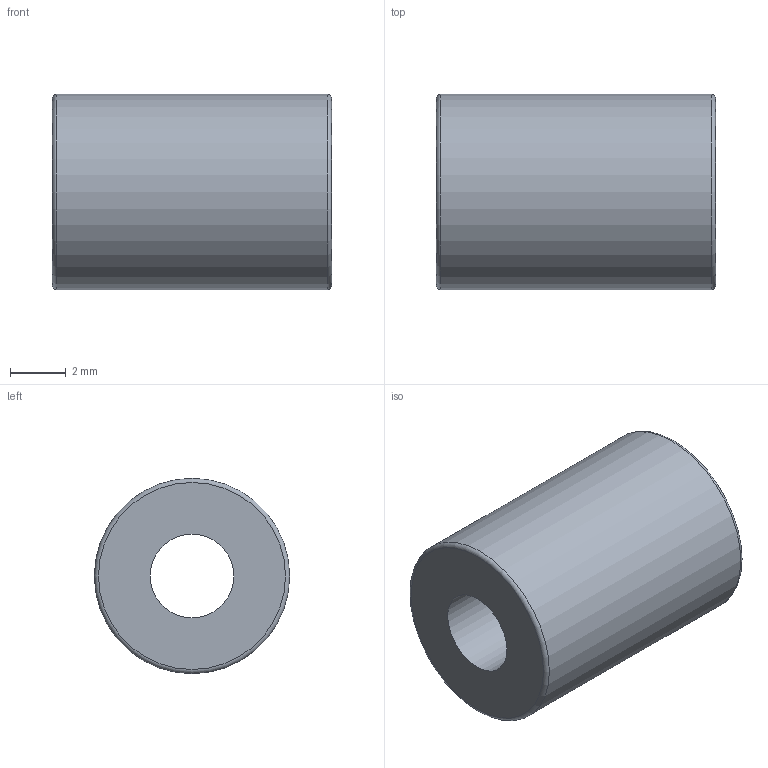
import cadquery as cq

length = 10.0
outer_diameter = 7.0
bore_diameter = 3.0
edge_radius = 0.15


def make_cylinder(diameter):
    """Full-length cylinder along X, centred on the origin."""
    end_plane = cq.Workplane("YZ", origin=(-length / 2, 0, 0))
    return end_plane.circle(diameter / 2).extrude(length)


def make_body():
    """Solid outer cylinder with rounded end rims."""
    return make_cylinder(outer_diameter).faces("<X or >X").edges().fillet(edge_radius)


result = make_body().cut(make_cylinder(bore_diameter))